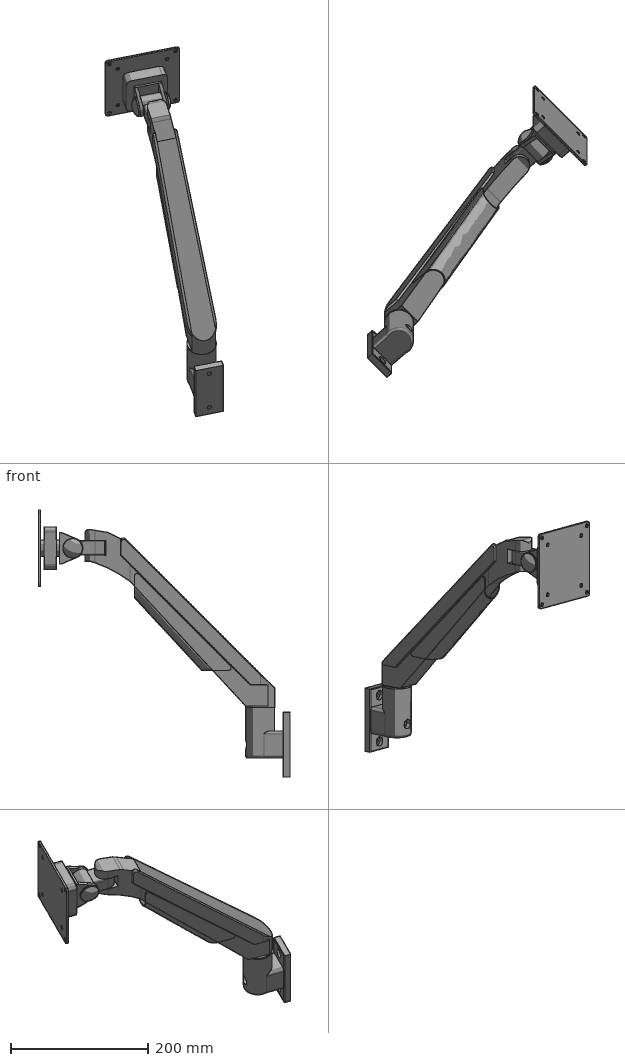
import cadquery as cq
import math


overall_height = 389.5

plate_thickness = 3.0
plate_side = 112.0
plate_corner_radius = 4.3
plate_hole_diameter = 5.5
plate_hole_pitches = (75.0, 100.0)
head_z = overall_height - plate_side / 2

spindle_diameter = 24.0
block_start, block_end = 8.0, 26.0
block_side = 62.5
block_corner_radius = 7.8
clevis_start = 30.5
clevis_base_thickness = 3.0
clevis_base_half_height = 23.0
clevis_half_width = 20.5
tilt_axis_x = 50.0
knuckle_radius = 15.0
knuckle_half_width = 15.5
cap_diameter = 29.0
cap_rim_height = 2.5
dome_base_diameter = 28.0
dome_height = 6.0

link_bottom, link_top = 324.0, 345.0
link_edge_radius = 1.5

nose_radius = 14.5
nose_axis_x = 82.2
nose_bottom, nose_top = 314.5, 362.5
nose_edge_radius = 6.0
nose_flat_end = 76.0
slot_end = 98.0
brow_start = (101.0, 357.0)
brow_end = (106.8, 354.2)
throat_middle = (102.0, 304.5)
bend_x = 133.5
bend_bottom_z = 285.2
top_line_sum = 474.2
elbow_axis_x = 323.0
elbow_radius = 21.5
elbow_half_width = 18.0
elbow_bottom = 104.0
collar_height = 2.5

panel_start = 119.5
panel_bottom = 134.5
panel_line_sum = 443.0
panel_height = 3.7
panel_draft = 15
panel_corner_radius = 4.3

belly_start = 140.0
belly_bottom = 156.0
belly_line_sum = 442.3
belly_half_width = 17.0
belly_drop = 17.0
belly_wall = 1.5
belly_corner_radius = 4.0

wall_plate_thickness = 10.5
wall_plate_width = 41.5
wall_plate_height = 94.5
wall_plate_chamfer = 1.0
wall_plate_back = 366.5
post_radius = 21.0
post_bottom = 27.5
post_bottom_radius = 3.5
bracket_half_width = 20.3
bracket_top = 67.5
bracket_top_radius = 4.5
screw_diameter = 6.5
screw_head_diameter = 13.5
screw_head_depth = 5.5
post_screw_head_depth = 7.8
screw_hole_depth = 4.0
screw_pitch = 34.5

nose_tip_x = nose_axis_x - nose_radius
elbow_back_x = elbow_axis_x + elbow_radius
elbow_front_x = elbow_axis_x - elbow_radius
flat_end_x = elbow_axis_x + math.sqrt(elbow_radius**2 - elbow_half_width**2)
collar_bottom = elbow_bottom - collar_height
wall_plate_front = wall_plate_back - wall_plate_thickness
wall_plate_middle = wall_plate_height / 2


def x_cylinder(diameter, start, end, z):
    """Cylinder along X on the plane Y = 0, from x = start to x = end."""
    return cq.Workplane("YZ", origin=(start, 0, z)).circle(diameter / 2).extrude(end - start)


def y_cylinder(radius, half_length):
    """Cylinder along Y, centred on the tilt axis."""
    axis = cq.Workplane("XZ", origin=(tilt_axis_x, 0, head_z))
    return axis.circle(radius).extrude(half_length, both=True)


def make_screen_plate():
    face = cq.Workplane("YZ", origin=(0, 0, head_z))
    plate = face.rect(plate_side, plate_side).extrude(plate_thickness)
    plate = plate.edges("|X").fillet(plate_corner_radius)
    for pitch in plate_hole_pitches:
        holes = face.rect(pitch, pitch, forConstruction=True).vertices()
        plate = plate.cut(holes.circle(plate_hole_diameter / 2).extrude(plate_thickness))
    return plate


def make_clevis():
    """Two ears on a base plate; the ears close tangentially on the knuckle radius."""
    base_end = clevis_start + clevis_base_thickness
    reach = tilt_axis_x - base_end
    distance = math.hypot(reach, clevis_base_half_height)
    tangent_angle = (math.atan2(clevis_base_half_height, -reach)
                     - math.acos(knuckle_radius / distance))
    tangent_dx = knuckle_radius * math.cos(tangent_angle)
    tangent_dz = knuckle_radius * math.sin(tangent_angle)
    outline = (
        cq.Workplane("XZ", origin=(tilt_axis_x, 0, head_z))
        .moveTo(clevis_start - tilt_axis_x, -clevis_base_half_height)
        .lineTo(clevis_start - tilt_axis_x, clevis_base_half_height)
        .lineTo(-reach, clevis_base_half_height)
        .lineTo(tangent_dx, tangent_dz)
        .threePointArc((knuckle_radius, 0), (tangent_dx, -tangent_dz))
        .lineTo(-reach, -clevis_base_half_height)
        .close()
    )
    clevis = outline.extrude(clevis_half_width, both=True)
    gap_length = 2 * clevis_base_half_height
    gap = cq.Workplane("XY").box(
        gap_length, 2 * knuckle_half_width, gap_length, centered=(False, True, True)
    )
    return clevis.cut(gap.translate((base_end, 0, head_z)))


def make_pivot_cap():
    """Domed cap on the -Y ear: a short rim with a spherical dome."""
    rim_y = clevis_half_width + cap_rim_height
    dome_radius = dome_base_diameter / 2
    sphere_radius = (dome_radius**2 + dome_height**2) / (2 * dome_height)
    axis = cq.Workplane("XZ", origin=(tilt_axis_x, -clevis_half_width, head_z))
    rim = axis.circle(cap_diameter / 2).extrude(cap_rim_height)
    sphere = cq.Workplane("XY").sphere(sphere_radius).translate(
        (tilt_axis_x, sphere_radius - rim_y - dome_height, head_z)
    )
    trim = axis.circle(cap_diameter / 2).extrude(cap_rim_height + dome_height)
    return rim.union(sphere.intersect(trim))


def make_swivel_head():
    block = (
        cq.Workplane("YZ", origin=(block_start, 0, head_z))
        .rect(block_side, block_side)
        .extrude(block_end - block_start)
        .edges("|X").fillet(block_corner_radius)
    )
    spindle = x_cylinder(spindle_diameter, plate_thickness, clevis_start, head_z)
    cap = make_pivot_cap()
    return block.union(spindle).union(make_clevis()).union(cap).union(cap.mirror("XZ"))


def make_link():
    """Knuckle between the clevis ears, with a round-ended tongue into the arm."""
    tongue = (
        cq.Workplane("XY", origin=(0, 0, link_bottom))
        .moveTo(tilt_axis_x, -nose_radius)
        .lineTo(nose_axis_x, -nose_radius)
        .threePointArc((nose_axis_x + nose_radius, 0), (nose_axis_x, nose_radius))
        .lineTo(tilt_axis_x, nose_radius)
        .close()
        .extrude(link_top - link_bottom)
        .faces("<Z or >Z").edges("not(<X)").fillet(link_edge_radius)
    )
    return tongue.union(y_cylinder(knuckle_radius, knuckle_half_width))


def make_arm_core():
    """Side outline of the arm, trimmed to its plan outline."""
    side = (
        cq.Workplane("XZ")
        .moveTo(nose_tip_x, nose_bottom)
        .lineTo(nose_tip_x, nose_top)
        .lineTo(*brow_start)
        .lineTo(*brow_end)
        .lineTo(bend_x, top_line_sum - bend_x)
        .lineTo(elbow_back_x, top_line_sum - elbow_back_x)
        .lineTo(elbow_back_x, elbow_bottom)
        .lineTo(elbow_front_x, elbow_bottom)
        .lineTo(bend_x, bend_bottom_z)
        .threePointArc(throat_middle, (nose_flat_end, nose_bottom))
        .close()
        .extrude(elbow_radius, both=True)
    )
    top_nose_edge = cq.selectors.NearestToPointSelector((nose_tip_x, 0, nose_top))
    side = side.edges(top_nose_edge).fillet(nose_edge_radius)
    plan = (
        cq.Workplane("XY")
        .moveTo(nose_axis_x, nose_radius)
        .lineTo(bend_x, nose_radius)
        .lineTo(flat_end_x, elbow_half_width)
        .threePointArc((elbow_back_x, 0), (flat_end_x, -elbow_half_width))
        .lineTo(bend_x, -nose_radius)
        .lineTo(nose_axis_x, -nose_radius)
        .threePointArc((nose_tip_x, 0), (nose_axis_x, nose_radius))
        .close()
        .extrude(nose_top)
    )
    return side.intersect(plan)


def make_side_panel():
    """Raised drafted panel on the -Y side, parallel to the tapering flank of the arm."""
    flank_angle = math.atan2(elbow_half_width - nose_radius, flat_end_x - bend_x)
    flank = cq.Plane(
        origin=(bend_x, -nose_radius, 0),
        xDir=(math.cos(flank_angle), -math.sin(flank_angle), 0),
        normal=(-math.sin(flank_angle), -math.cos(flank_angle), 0),
    )
    outline = [
        (panel_start, panel_line_sum - panel_start),
        (panel_start, top_line_sum - panel_start),
        (top_line_sum - panel_bottom, panel_bottom),
        (panel_line_sum - panel_bottom, panel_bottom),
    ]
    panel = (
        cq.Workplane(flank)
        .polyline([(x - bend_x, z) for x, z in outline])
        .close()
        .extrude(panel_height, taper=panel_draft)
    )
    upper_corner = cq.selectors.NearestToPointSelector(
        (panel_start, -nose_radius - panel_height / 2, top_line_sum - panel_start)
    )
    panel = panel.edges(upper_corner).fillet(panel_corner_radius)
    straight_part = cq.Workplane("XY").box(
        elbow_axis_x, 2 * elbow_radius, nose_top, centered=(False, True, False)
    )
    elbow = cq.Workplane("XY").center(elbow_axis_x, 0).circle(elbow_radius).extrude(nose_top)
    return panel.intersect(straight_part.union(elbow))


def make_trough(half_width, drop, start_z, run, fall):
    """Half-elliptic prism hanging below the underside of the arm and running along it."""
    section = (
        cq.Workplane("YZ", origin=(belly_start, 0, start_z))
        .moveTo(-half_width, 0)
        .ellipseArc(half_width, drop, 180, 360, startAtCurrent=True)
        .close()
    )
    direction = cq.Vector(run, 0, -fall)
    return cq.Workplane(cq.Solid.extrudeLinear(section.wire().val(), [], direction))


def make_belly(arm):
    """Thin open-ended cover: cheeks on the flanks of the arm and a hollow trough below it."""
    slope = (bend_bottom_z - elbow_bottom) / (elbow_front_x - bend_x)
    shoulder_z = bend_bottom_z - slope * (belly_start - bend_x)
    shoulder_end_x = bend_x + (bend_bottom_z - belly_bottom) / slope
    upper_corner_z = belly_line_sum - belly_start
    rear_corner_x = belly_line_sum - belly_bottom
    upper = (
        cq.Workplane("XZ")
        .moveTo(belly_start, shoulder_z)
        .lineTo(belly_start, upper_corner_z)
        .lineTo(rear_corner_x, belly_bottom)
        .lineTo(shoulder_end_x, belly_bottom)
        .close()
        .extrude(belly_half_width, both=True)
    )
    for corner in ((belly_start, 0, upper_corner_z), (rear_corner_x, 0, belly_bottom)):
        upper = upper.edges(cq.selectors.NearestToPointSelector(corner)).fillet(belly_corner_radius)

    run = shoulder_end_x - belly_start
    fall = shoulder_z - belly_bottom
    trough = make_trough(belly_half_width, belly_drop, shoulder_z, run, fall)
    hollow = make_trough(
        belly_half_width - belly_wall, belly_drop - belly_wall, shoulder_z, run, fall
    )
    keep = cq.Workplane("XY", origin=(0, 0, belly_bottom)).box(
        rear_corner_x, 2 * elbow_radius, nose_top, centered=(False, True, False)
    )
    return upper.cut(arm).union(trough.cut(hollow).intersect(keep))


def make_arm():
    panel = make_side_panel()
    arm = make_arm_core().union(panel).union(panel.mirror("XZ"))
    collar = (
        cq.Workplane("XY", origin=(elbow_axis_x, 0, collar_bottom))
        .circle(elbow_radius)
        .extrude(collar_height)
    )
    slot = cq.Workplane("XY", origin=(0, 0, link_bottom)).box(
        slot_end, 2 * elbow_radius, link_top - link_bottom, centered=(False, True, False)
    )
    return arm.union(collar).cut(slot)


def screw_bore(start, head_depth, z):
    """Counterbore that opens at x = start, with a blind screw hole in its floor."""
    seat = start + head_depth
    counterbore = x_cylinder(screw_head_diameter, start, seat, z)
    return counterbore.union(x_cylinder(screw_diameter, seat, seat + screw_hole_depth, z))


def make_wall_bracket():
    block = (
        cq.Workplane("XY", origin=(elbow_axis_x, 0, post_bottom))
        .box(
            wall_plate_front - elbow_axis_x,
            2 * bracket_half_width,
            bracket_top - post_bottom,
            centered=(False, True, False),
        )
        .edges("|X and >Z").fillet(bracket_top_radius)
    )
    bracket = (
        cq.Workplane("XY", origin=(elbow_axis_x, 0, post_bottom))
        .circle(post_radius)
        .extrude(collar_bottom - post_bottom)
        .union(block)
    )
    bracket = bracket.faces("<Z").edges("not(>X)").fillet(post_bottom_radius)
    wall_plate = (
        cq.Workplane("YZ", origin=(wall_plate_front, 0, wall_plate_middle))
        .rect(wall_plate_width, wall_plate_height)
        .extrude(wall_plate_thickness)
        .faces("<X").chamfer(wall_plate_chamfer)
    )
    bracket = bracket.union(wall_plate)
    post_front = elbow_axis_x - post_radius
    bracket = bracket.cut(screw_bore(post_front, post_screw_head_depth, wall_plate_middle))
    for offset in (-screw_pitch, screw_pitch):
        z = wall_plate_middle + offset
        bracket = bracket.cut(screw_bore(wall_plate_front, screw_head_depth, z))
    return bracket


screen_plate = make_screen_plate()
swivel_head = make_swivel_head()
link = make_link()
arm = make_arm()
belly_cover = make_belly(arm)
wall_bracket = make_wall_bracket()

result = cq.Compound.makeCompound([
    screen_plate.solids().val(),
    swivel_head.solids().val(),
    link.solids().val(),
    arm.solids().val(),
    belly_cover.solids().val(),
    wall_bracket.solids().val(),
])